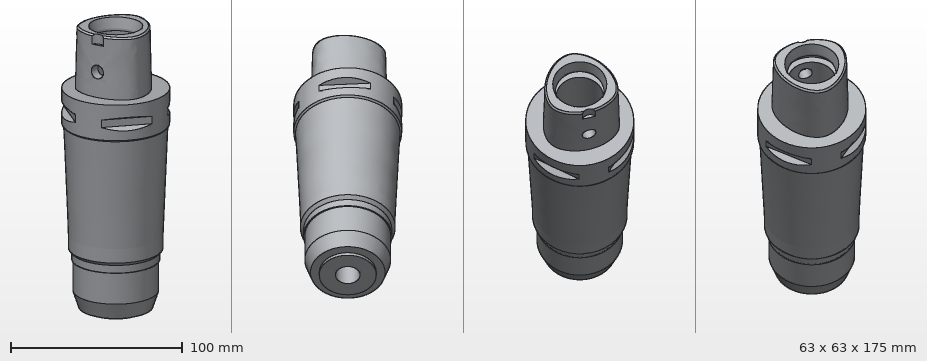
import cadquery as cq
import math

total_height = 175.0
nose_top = 2.1
nose_cone_top = 12.0
barrel_top = 31.3
neck_top = 36.2
collar_bottom = 38.3
collar_top = 46.7
flange_chamfer = 1.0
flange_bottom = 115.2
flange_top = 137.0

nose_radius = 16.6
nose_cone_radius = 21.7
barrel_radius = 25.0
neck_radius = 25.7
collar_radius = 27.6
flange_radius = 31.5
body_top_radius = flange_radius - flange_chamfer

shank_base_radius = 22.2
shank_top_radius = 21.4
lobe_height = 1.31
shank_chamfer = 1.0
lobe_points = 48

mouth_radius = 15.8
lip_radius = 14.2
mouth_cone_depth = 6.6
lip_depth = 7.9
groove_radius = 17.8
groove_floor_depth = 13.3
shank_bore_radius = 13.8
shank_bore_bottom = 131.2
counterbore_radius = 9.1
counterbore_bottom = 113.8
through_radius = 7.2

notch_radius = 5.0
notch_axis_y = -23.1
notch_depth = 6.0
cross_hole_radius = 4.11
cross_hole_height = 152.6

slot_count = 4
slot_height = 125.1
slot_floor_distance = 27.6
slot_floor_width = 4.5
slot_mouth_width = 8.2


def revolve_profile(points):
    return cq.Workplane("XZ").polyline(points).close().revolve(360, (0, 0, 0), (0, 1, 0))


def lobed_wire(mean_radius, height):
    """Closed smooth curve with three lobes, one of them pointing along +Y."""
    points = []
    for i in range(lobe_points):
        angle = 2 * math.pi * i / lobe_points
        lobe_angle = 3 * (angle - math.pi / 2)
        reach = mean_radius + lobe_height * math.cos(lobe_angle)
        slope = -3 * lobe_height * math.sin(lobe_angle)
        x = reach * math.cos(angle) - slope * math.sin(angle)
        y = reach * math.sin(angle) + slope * math.cos(angle)
        points.append(cq.Vector(x, y, height))
    return cq.Wire.assembleEdges([cq.Edge.makeSpline(points, periodic=True)])


def lobed_loft(bottom_radius, bottom, top_radius, top):
    wires = [lobed_wire(bottom_radius, bottom), lobed_wire(top_radius, top)]
    return cq.Workplane(cq.Solid.makeLoft(wires, True))


def make_body():
    return revolve_profile([
        (0, 0),
        (nose_radius, 0),
        (nose_radius, nose_top),
        (nose_cone_radius, nose_top),
        (barrel_radius, nose_cone_top),
        (barrel_radius, barrel_top),
        (neck_radius, barrel_top),
        (neck_radius, neck_top),
        (collar_radius, collar_bottom),
        (collar_radius, collar_top),
        (body_top_radius, flange_bottom - flange_chamfer),
        (flange_radius, flange_bottom),
        (flange_radius, flange_top),
        (0, flange_top),
    ])


def make_shank():
    chamfer_start = total_height - shank_chamfer
    taper = lobed_loft(shank_base_radius, flange_top, shank_top_radius, chamfer_start)
    tip = lobed_loft(shank_top_radius, chamfer_start, shank_top_radius - shank_chamfer, total_height)
    return taper.union(tip)


def make_bore():
    groove_floor = total_height - groove_floor_depth
    lip_bottom = total_height - lip_depth
    return revolve_profile([
        (0, 0),
        (through_radius, 0),
        (through_radius, counterbore_bottom),
        (counterbore_radius, counterbore_bottom),
        (counterbore_radius, shank_bore_bottom),
        (shank_bore_radius, shank_bore_bottom),
        (shank_bore_radius, groove_floor),
        (groove_radius, groove_floor),
        (groove_radius, lip_bottom),
        (lip_radius, lip_bottom),
        (lip_radius, total_height - mouth_cone_depth),
        (mouth_radius, total_height),
        (0, total_height),
    ])


def make_gripper_slot(angle):
    """Trapezoidal slot that widens outward, cut straight across the flange."""
    floor_half = slot_floor_width / 2
    mouth_half = slot_mouth_width / 2
    profile = [
        (slot_floor_distance, slot_height - floor_half),
        (flange_radius, slot_height - mouth_half),
        (flange_radius, slot_height + mouth_half),
        (slot_floor_distance, slot_height + floor_half),
    ]
    slot = cq.Workplane("XZ").polyline(profile).close().extrude(flange_radius, both=True)
    return slot.rotate((0, 0, 0), (0, 0, 1), angle)


notch = (
    cq.Workplane("XY", origin=(0, notch_axis_y, total_height - notch_depth))
    .circle(notch_radius)
    .extrude(notch_depth)
)
cross_hole = (
    cq.Workplane("XZ", origin=(0, 0, cross_hole_height))
    .circle(cross_hole_radius)
    .extrude(flange_radius)
)

result = make_body().union(make_shank()).cut(make_bore()).cut(notch).cut(cross_hole)
for i in range(slot_count):
    result = result.cut(make_gripper_slot((i + 0.5) * 360 / slot_count))